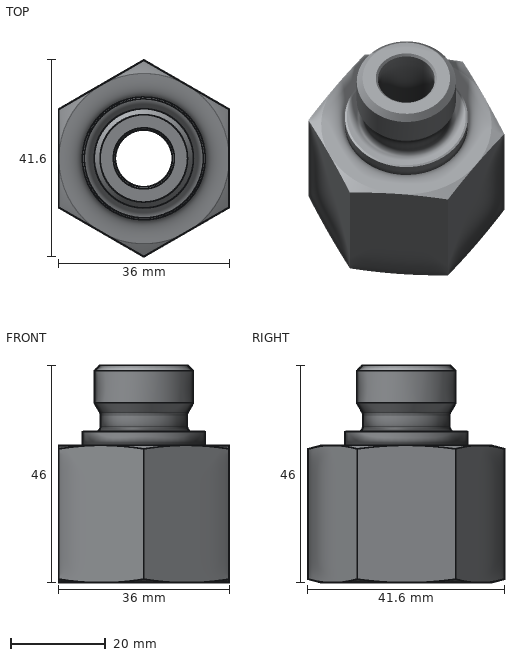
import cadquery as cq
import math

total_height = 46
across_flats = 36.0
across_corners = across_flats / math.cos(math.radians(30))
hex_height = 29.03
hex_chamfer_angle = 15
hex_chamfer_drop = (across_corners - across_flats) / 2 * math.tan(math.radians(hex_chamfer_angle))

collar_radius = 26.0 / 2
collar_top = 32.0
collar_chamfer = 0.4
collar_chamfer_height = 0.15
collar_dish_angle = 5

neck_radius = 18.4 / 2
neck_fillet = 1.2
neck_top = 35.5
taper_bottom = 36.0
taper_bottom_radius = 9.35
spigot_radius = 20.98 / 2
spigot_bottom = 38.05
spigot_chamfer = 1.25

bore_radius = 12.0 / 2
bore_chamfer = 0.45


def hexagonal_body():
    """Vertical hexagon with corners on Y, its ends trimmed by a shallow cone."""
    hexagon = cq.Workplane("XY").polygon(6, across_corners).extrude(hex_height)
    hexagon = hexagon.rotate((0, 0, 0), (0, 0, 1), 90)
    flat_radius = across_flats / 2
    corner_radius = across_corners / 2
    cone_profile = [
        (0, 0),
        (flat_radius, 0),
        (corner_radius, hex_chamfer_drop),
        (corner_radius, hex_height - hex_chamfer_drop),
        (flat_radius, hex_height),
        (0, hex_height),
    ]
    envelope = cq.Workplane("XZ").polyline(cone_profile).close().revolve(360, (0, 0, 0), (0, 1, 0))
    return hexagon.intersect(envelope)


def turned_end():
    """Dished collar, filleted neck and chamfered spigot as one revolved profile."""
    dish_angle = math.radians(collar_dish_angle)
    rim_radius = collar_radius - collar_chamfer
    fillet_center_radius = neck_radius + neck_fillet
    fillet_end_radius = fillet_center_radius + neck_fillet * math.sin(dish_angle)
    fillet_end_z = collar_top - (rim_radius - fillet_end_radius) * math.tan(dish_angle)
    fillet_center_z = fillet_end_z + neck_fillet * math.cos(dish_angle)
    fillet_reach = neck_fillet * math.sqrt(0.5)
    return (
        cq.Workplane("XZ")
        .moveTo(0, hex_height)
        .lineTo(collar_radius, hex_height)
        .lineTo(collar_radius, collar_top - collar_chamfer_height)
        .lineTo(rim_radius, collar_top)
        .lineTo(fillet_end_radius, fillet_end_z)
        .threePointArc(
            (fillet_center_radius - fillet_reach, fillet_center_z - fillet_reach),
            (neck_radius, fillet_center_z),
        )
        .lineTo(neck_radius, neck_top)
        .tangentArcPoint((taper_bottom_radius, taper_bottom), relative=False)
        .lineTo(spigot_radius, spigot_bottom)
        .lineTo(spigot_radius, total_height - spigot_chamfer)
        .lineTo(spigot_radius - spigot_chamfer, total_height)
        .lineTo(0, total_height)
        .close()
        .revolve(360, (0, 0, 0), (0, 1, 0))
    )


def through_bore():
    """Cylindrical passage with a countersunk mouth at the spigot end."""
    passage_profile = [
        (0, 0),
        (bore_radius, 0),
        (bore_radius, total_height - bore_chamfer),
        (bore_radius + bore_chamfer, total_height),
        (0, total_height),
    ]
    return cq.Workplane("XZ").polyline(passage_profile).close().revolve(360, (0, 0, 0), (0, 1, 0))


result = hexagonal_body().union(turned_end()).cut(through_bore())